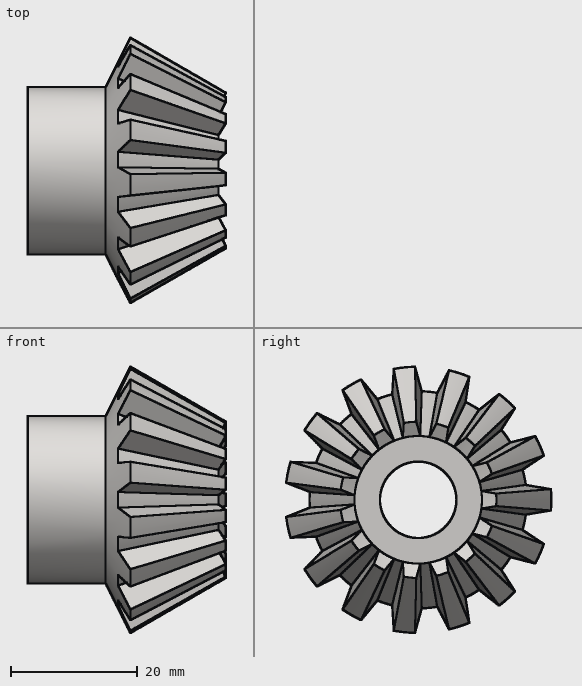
import cadquery as cq
import math

TOOTH_COUNT = 15
MATING_TOOTH_COUNT = 30
TOOTH_PITCH = 360 / TOOTH_COUNT
BORE_RADIUS = 6.0
HUB_RADIUS = 13.23
TOTAL_LENGTH = 31.2
APEX_X = 52.55

TIP_RADIUS = 21.0
TIP_BACK_X = 16.15
ROOT_RADIUS = 17.15
TIP_HALF_ANGLE = 4.6
ROOT_HALF_ANGLE = 7.9
FLANK_OVERRUN = 0.3
END_OVERRUN = 2.1

back_slope = TOOTH_COUNT / MATING_TOOTH_COUNT
hub_end_x = TIP_BACK_X - (TIP_RADIUS - HUB_RADIUS) * back_slope
root_back_x = TIP_BACK_X - (TIP_RADIUS - ROOT_RADIUS) * back_slope

front_scale = (APEX_X - TOTAL_LENGTH) / (APEX_X - TIP_BACK_X)
tip_front_radius = TIP_RADIUS * front_scale
root_front_radius = ROOT_RADIUS * front_scale
root_front_x = APEX_X - (APEX_X - root_back_x) * front_scale


def revolve_about_x(points):
    """Revolve a closed (x, radius) outline about the gear axis."""
    return cq.Workplane("XY").polyline(points).close().revolve(360, (0, 0, 0), (1, 0, 0))


def flank_point(radius, tooth_half_angle, x):
    """Radial and sideways place of a gap corner, per unit distance from the apex."""
    gap_half_angle = math.radians(TOOTH_PITCH / 2 - tooth_half_angle)
    distance = APEX_X - x
    return radius * math.cos(gap_half_angle) / distance, radius * math.sin(gap_half_angle) / distance


def gap_section(x):
    """Trapezoid across the gap at +Y, extended past the tip and root."""
    tip_y, tip_z = flank_point(TIP_RADIUS, TIP_HALF_ANGLE, TIP_BACK_X)
    root_y, root_z = flank_point(ROOT_RADIUS, ROOT_HALF_ANGLE, root_back_x)
    distance = APEX_X - x
    step_y = FLANK_OVERRUN * (tip_y - root_y)
    step_z = FLANK_OVERRUN * (tip_z - root_z)
    outer_y = (tip_y + step_y) * distance
    outer_z = (tip_z + step_z) * distance
    inner_y = (root_y - step_y) * distance
    inner_z = (root_z - step_z) * distance
    corners = [(inner_y, -inner_z), (outer_y, -outer_z), (outer_y, outer_z), (inner_y, inner_z)]
    return cq.Wire.makePolygon([cq.Vector(x, y, z) for y, z in corners], close=True)


def make_gap_cutter():
    """Wedge converging to the apex, with its floor on the root cone."""
    start_x = hub_end_x - END_OVERRUN
    end_x = TOTAL_LENGTH + END_OVERRUN
    root_slope = ROOT_RADIUS / (APEX_X - root_back_x)
    wedge = cq.Solid.makeLoft([gap_section(start_x), gap_section(end_x)], True)
    cone_start_x = start_x - END_OVERRUN
    cone_end_x = end_x + END_OVERRUN
    root_cone = revolve_about_x([
        (cone_start_x, 0),
        (cone_start_x, (APEX_X - cone_start_x) * root_slope),
        (cone_end_x, (APEX_X - cone_end_x) * root_slope),
        (cone_end_x, 0),
    ])
    return cq.Workplane(wedge).cut(root_cone)


gear = revolve_about_x([
    (0, BORE_RADIUS),
    (0, HUB_RADIUS),
    (hub_end_x, HUB_RADIUS),
    (TIP_BACK_X, TIP_RADIUS),
    (TOTAL_LENGTH, tip_front_radius),
    (root_front_x, root_front_radius),
    (root_front_x, BORE_RADIUS),
])

gap_cutter = make_gap_cutter()
for index in range(TOOTH_COUNT):
    angle = (index + 0.5) * TOOTH_PITCH
    gear = gear.cut(gap_cutter.rotate((0, 0, 0), (1, 0, 0), angle))

result = gear